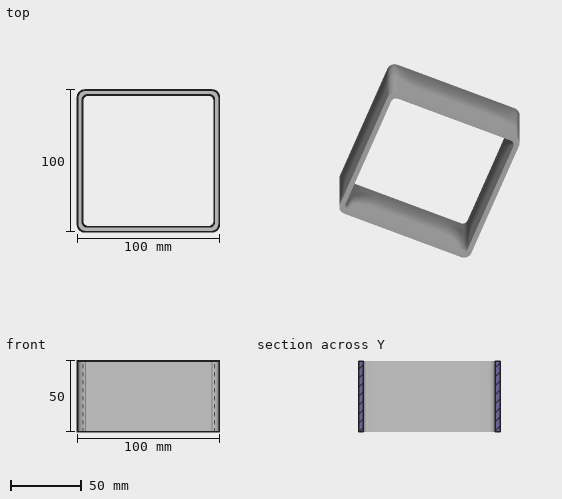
import cadquery as cq

outer_width = 100.0
height = 50.0
wall = 3.6
outer_radius = 1.5 * wall
inner_radius = wall
inner_width = outer_width - 2 * wall


def rounded_square_prism(width, corner_radius):
    """Square prism of the tube height with rounded vertical edges."""
    return (
        cq.Workplane("XY")
        .rect(width, width)
        .extrude(height)
        .edges("|Z")
        .fillet(corner_radius)
    )


outer_body = rounded_square_prism(outer_width, outer_radius)
bore = rounded_square_prism(inner_width, inner_radius)
result = outer_body.cut(bore)